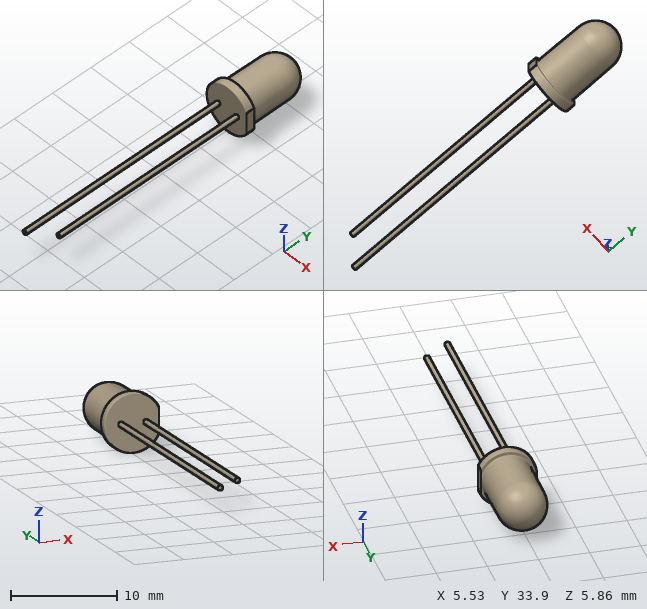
import cadquery as cq
import math

total_length = 33.9
lens_length = 8.6
flange_radius = 2.932
flange_height = 1.02
flat_offset = 2.595
edge_radius = 0.1
dome_radius = 2.45
lens_base_radius = 2.49
lead_radius = 0.27
lead_spacing = 2.55
lead_step = 2.0

dome_base = lens_length - dome_radius
long_lead_length = total_length - lens_length
short_lead_length = long_lead_length - lead_step


def make_lens():
    """Domed lens and its flange, as one turned body with a flat on +X."""
    dome_mid = dome_radius * math.sqrt(0.5)
    profile = (
        cq.Workplane("XY")
        .lineTo(flange_radius, 0)
        .lineTo(flange_radius, flange_height)
        .lineTo(lens_base_radius, flange_height)
        .lineTo(dome_radius, dome_base)
        .threePointArc((dome_mid, dome_base + dome_mid), (0, lens_length))
        .close()
    )
    turned = profile.revolve(360, (0, 0, 0), (0, 1, 0))

    flange_band = cq.selectors.BoxSelector(
        (-flange_radius, -edge_radius, -flange_radius),
        (flange_radius, flange_height + edge_radius, flange_radius),
        boundingbox=False,
    )
    rounded = turned.edges("%CIRCLE").edges(flange_band).fillet(edge_radius)

    flat_cutter = cq.Workplane("XY").box(
        flange_radius, 2 * lens_length, 2 * flange_radius, centered=(False, True, True)
    ).translate((flat_offset, 0, 0))
    return rounded.cut(flat_cutter)


def make_lead(x, length):
    """Round lead that starts on the flange underside and runs toward -Y."""
    return cq.Workplane("XZ").center(x, 0).circle(lead_radius).extrude(length)


lens = make_lens()
lead_layout = [
    (-lead_spacing / 2, long_lead_length),
    (lead_spacing / 2, short_lead_length),
]
leads = [make_lead(x, length).val() for x, length in lead_layout]

result = cq.Compound.makeCompound([lens.val(), *leads])